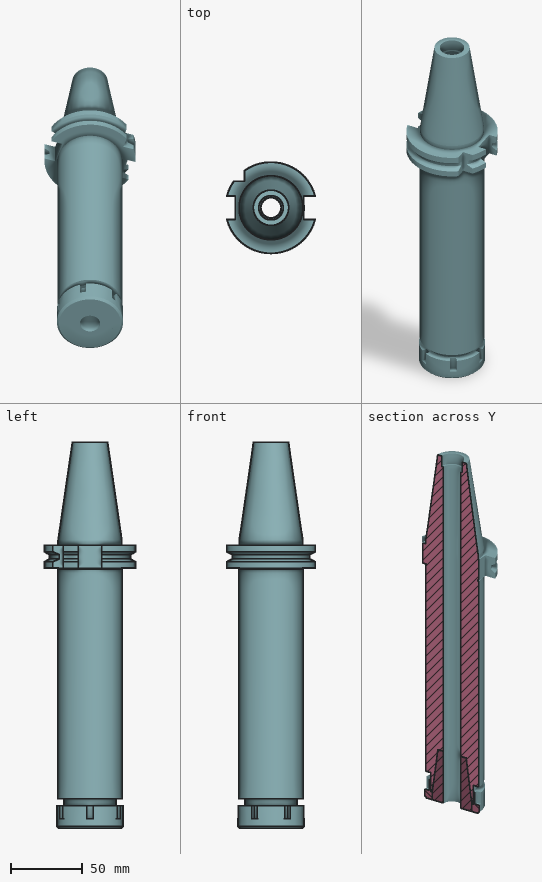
import cadquery as cq
import math


gauge_radius = 44.45 / 2
taper_length = 68.4
taper_small_radius = gauge_radius - taper_length * 7 / 24 / 2

flange_radius = 63.55 / 2
flange_top = -3.2
flange_bottom = -19.1
groove_floor_radius = 56.5 / 2
groove_center = -11.3
groove_flank_angle = math.radians(30)
gauge_pin_radius = 7.0 / 2
gauge_pin_center = 72.3 / 2 - gauge_pin_radius

drive_slot_width = 16.1
drive_slot_floor_left = 25.0
drive_slot_floor_right = 22.8
notch_offset_x = 18.5
notch_offset_y = 18.5

shank_radius = 45.0 / 2
shank_bottom = -179.4
shank_undercut_radius = 22.0
shank_undercut_height = 0.8
neck_radius = 36.2 / 2
neck_bottom = -194.0

bore_radius = 14.0 / 2
entry_bore_radius = 17.0 / 2
entry_bore_depth = 8.0

nut_bottom = -200.0
nut_top = -184.2
nut_radius = 46.0 / 2
nut_chamfer = 1.5
nut_slot_count = 6
nut_slot_width = 4.3
nut_slot_floor_radius = 19.5
nut_slot_depth = 8.9

collet_length = 40.0
collet_large_radius = 33.0 / 2
collet_taper_angle = math.radians(8)
collet_top = nut_bottom + collet_length
collet_small_radius = collet_large_radius - (collet_top - neck_bottom) * math.tan(collet_taper_angle)


def revolved(profile):
    """Turn a closed (radius, z) profile about the Z axis."""
    return cq.Workplane("YZ").polyline(profile).close().revolve(360, (0, 0, 0), (0, 1, 0))


def block(x_range, y_range, z_range):
    """Axis-aligned box between the given limits."""
    size = [high - low for low, high in (x_range, y_range, z_range)]
    corner = (x_range[0], y_range[0], z_range[0])
    return cq.Workplane("XY").box(*size, centered=False).translate(corner)


def groove_half_width(radius):
    """Half the axial width of the V groove, whose flanks touch the gauge pin, at a radius."""
    width_at_pin_center = gauge_pin_radius / math.cos(groove_flank_angle)
    return width_at_pin_center - (gauge_pin_center - radius) * math.tan(groove_flank_angle)


def make_holder():
    rim_half_width = groove_half_width(flange_radius)
    floor_half_width = groove_half_width(groove_floor_radius)
    holder = revolved([
        (entry_bore_radius, taper_length),
        (taper_small_radius, taper_length),
        (gauge_radius, 0),
        (gauge_radius, flange_top),
        (flange_radius, flange_top),
        (flange_radius, groove_center + rim_half_width),
        (groove_floor_radius, groove_center + floor_half_width),
        (groove_floor_radius, groove_center - floor_half_width),
        (flange_radius, groove_center - rim_half_width),
        (flange_radius, flange_bottom),
        (shank_undercut_radius, flange_bottom),
        (shank_undercut_radius, flange_bottom - shank_undercut_height),
        (shank_radius, flange_bottom - shank_undercut_height),
        (shank_radius, shank_bottom),
        (neck_radius, shank_bottom),
        (neck_radius, neck_bottom),
        (collet_large_radius, neck_bottom),
        (collet_small_radius, collet_top),
        (bore_radius, collet_top),
        (bore_radius, taper_length - entry_bore_depth),
        (entry_bore_radius, taper_length - entry_bore_depth),
    ])

    flange_height = (flange_bottom, flange_top)
    slot_width = (-drive_slot_width / 2, drive_slot_width / 2)
    left_slot = block((-flange_radius, -drive_slot_floor_left), slot_width, flange_height)
    right_slot = block((drive_slot_floor_right, flange_radius), slot_width, flange_height)
    notch = block((-flange_radius, -notch_offset_x), (notch_offset_y, flange_radius), flange_height)
    return holder.cut(left_slot).cut(right_slot).cut(notch)


def make_nut():
    nut = revolved([
        (neck_radius, nut_top),
        (nut_radius, nut_top),
        (nut_radius, nut_bottom + nut_chamfer),
        (nut_radius - nut_chamfer, nut_bottom),
        (collet_large_radius, nut_bottom),
        (collet_large_radius, neck_bottom),
        (neck_radius, neck_bottom),
    ])
    slot = block(
        (nut_slot_floor_radius, nut_radius),
        (-nut_slot_width / 2, nut_slot_width / 2),
        (nut_top - nut_slot_depth, nut_top),
    )
    for index in range(nut_slot_count):
        nut = nut.cut(slot.rotate((0, 0, 0), (0, 0, 1), index * 360 / nut_slot_count))
    return nut


def make_collet():
    return revolved([
        (bore_radius, collet_top),
        (collet_small_radius, collet_top),
        (collet_large_radius, neck_bottom),
        (collet_large_radius, nut_bottom),
        (bore_radius, nut_bottom),
    ])


holder = make_holder()
nut = make_nut()
collet = make_collet()

result = cq.Compound.makeCompound([holder.val(), nut.val(), collet.val()])